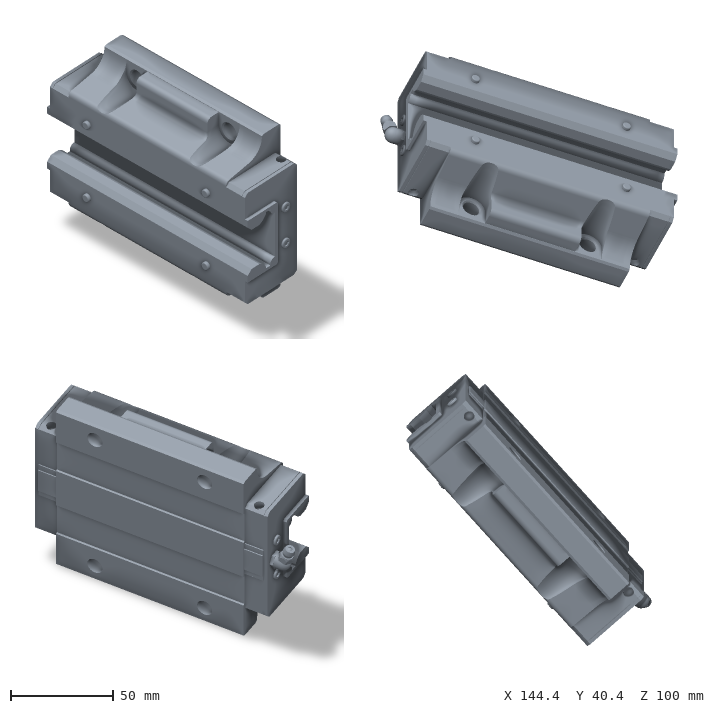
import cadquery as cq
import math


BLOCK_LENGTH = 105.8
FLANGE_WIDTH = 100.0
FLANGE_HALF = FLANGE_WIDTH / 2
BLOCK_DEPTH = 38.5
OVERALL_LENGTH = 144.4
SEAL_X = 67.5
CAP_X = 65.5

FLANGE_THICKNESS = 13.1
FLANGE_EDGE_DEPTH = 1.3
FLANGE_EDGE_HEIGHT = 0.7
SWEEP_START_HALF = 49.0
SWEEP_RADIUS = 11.3
SLOPE_ANGLE = 10.0
SIDE_CORNER_RADIUS = 2.9
RELIEF_DEPTH = 0.9
RELIEF_OUTER = 29.7
RELIEF_INNER = 11.1
RELIEF_SLOPE = 0.5

OPENING_FLOOR = 19.2
OPENING_FLOOR_HALF = 13.5
SLOT_DEEP_START = 22.4
SLOT_DEEP_END = 25.7
SLOT_DEEP_HALF = 17.2
TRACK_EDGE_HALF = 16.0
INNER_TRACK_CREST = (-21.5, 14.3)
OUTER_TRACK_CREST = (-27.5, 13.9)
LAND_START = 30.3
LAND_END = 35.8
LAND_HALF = 12.0
MOUTH_CHAMFER = 2.7

BOLT_SPACING_X = 62.0
BOLT_SPACING_Z = 82.0
BOLT_X = BOLT_SPACING_X / 2
BOLT_Z = BOLT_SPACING_Z / 2
BOLT_HOLE_DIAMETER = 8.5
BOLT_HOLE_CHAMFER = 0.7
SPOT_RADIUS = 7.1
RIB_DEPTH = 21.1
RIB_HALF = 49.1
RIB_RADIUS = 2.9
RIB_BASE_HALF = 28.9

CAP_BACK = 1.6
CAP_HALF = 34.1
CAP_BACK_CHAMFER_DEPTH = 2.2
CAP_BACK_CHAMFER_HEIGHT = 1.7
CAP_FRONT_CHAMFER = 2.0
CAP_JOINT_X = 63.4
CAP_JOINT_WIDTH = 0.5
CAP_JOINT_DEPTH = 0.5
PAD_HALVES = (9.8, 6.6)
PAD_BACKS = (1.0, 0.5)
PORT_X = 58.6
PORT_Y = -5.5
PORT_DIAMETER = 5.2
PORT_DEPTH = 4.3
SEAL_HALF = 18.9
SEAL_BACK = 16.9
SEAL_CHAMFER = 1.0

PIN_SPACING_X = 80.1
PIN_SPACING_Z = 44.5
PIN_X = PIN_SPACING_X / 2
PIN_Z = PIN_SPACING_Z / 2
PIN_DIAMETER = 4.3
PIN_HEIGHT = 1.9
PIN_RADIUS = 0.6
SCREW_Y = -10.0
SCREW_Z = 11.0
SCREW_DIAMETER = 5.6
SCREW_HEIGHT = 1.2
SCREW_RADIUS = 0.6
SOCKET_FLATS = 2.6
SOCKET_DEPTH = 0.7

NIPPLE_Y = -8.1
NIPPLE_TILT = 20.0
NUT_FLATS = 8.0
NUT_THICKNESS = 1.7
ELBOW_DIAMETER = 8.0
HEX_FLATS = 6.6
HEX_START = 2.9
HEX_BEVEL_START = 4.9
HEX_END = 6.8
NECK_END = 7.5
HEAD_START = 8.5
TIP_END = 11.3
HEX_TOP_DIAMETER = 6.2
NECK_DIAMETER = 5.2
HEAD_DIAMETER = 6.0
TIP_DIAMETER = 4.9
MOUTH_DIAMETER = 2.3
BALL_RISE = 0.5

SIDES = (-1, 1)


def extrude_along_x(sketch, x_start, x_end):
    """Extrude a closed YZ outline between two X positions."""
    return sketch.extrude(x_end - x_start).translate((x_start, 0, 0))


def centred_along_x(sketch, half_length):
    return extrude_along_x(sketch, -half_length, half_length)


def hexagon_diameter(flats):
    """Across-corners size of a hexagon from its width across flats."""
    return flats / math.cos(math.radians(30))


def make_rib(sweep_end):
    """Rib between the bolt holes, with a rounded crest and a rounded root."""
    slope = math.radians(SLOPE_ANGLE)
    mid_angle = (math.radians(90) - slope) / 2
    slope_z = sweep_end[1] - (RIB_DEPTH + sweep_end[0]) * math.tan(slope)
    root_run = RIB_RADIUS * math.tan(math.radians(45) - slope / 2)
    root_centre = (-RIB_DEPTH - RIB_RADIUS, slope_z + root_run)
    root_mid = (
        root_centre[0] + RIB_RADIUS * math.cos(mid_angle),
        root_centre[1] - RIB_RADIUS * math.sin(mid_angle),
    )
    root_end = (
        root_centre[0] + RIB_RADIUS * math.sin(slope),
        root_centre[1] - RIB_RADIUS * math.cos(slope),
    )
    crest_offset = RIB_RADIUS * (1 - math.sin(math.radians(45)))
    rib = (
        cq.Workplane("YZ")
        .moveTo(-FLANGE_THICKNESS, RIB_HALF)
        .lineTo(-RIB_DEPTH + RIB_RADIUS, RIB_HALF)
        .threePointArc(
            (-RIB_DEPTH + crest_offset, RIB_HALF - crest_offset),
            (-RIB_DEPTH, RIB_HALF - RIB_RADIUS),
        )
        .lineTo(-RIB_DEPTH, root_centre[1])
        .threePointArc(root_mid, root_end)
        .lineTo(root_end[0], RIB_BASE_HALF)
        .lineTo(-FLANGE_THICKNESS, RIB_BASE_HALF)
        .close()
    )
    return centred_along_x(rib, BOLT_X)


def make_block():
    """Steel block: flanges, concave sweeps, sloping sides and relieved back."""
    slope = math.radians(SLOPE_ANGLE)
    sweep_y = -FLANGE_THICKNESS - SWEEP_RADIUS
    sweep_z = SWEEP_START_HALF
    mid_angle = (math.radians(90) - slope) / 2
    sweep_mid = (
        sweep_y + SWEEP_RADIUS * math.cos(mid_angle),
        sweep_z - SWEEP_RADIUS * math.sin(mid_angle),
    )
    sweep_end = (
        sweep_y + SWEEP_RADIUS * math.sin(slope),
        sweep_z - SWEEP_RADIUS * math.cos(slope),
    )
    corner_z = sweep_end[1] - (BLOCK_DEPTH + sweep_end[0]) * math.tan(slope)
    half = (
        cq.Workplane("YZ")
        .moveTo(0, 0)
        .lineTo(0, RELIEF_INNER)
        .lineTo(-RELIEF_DEPTH, RELIEF_INNER + RELIEF_SLOPE)
        .lineTo(-RELIEF_DEPTH, RELIEF_OUTER - RELIEF_SLOPE)
        .lineTo(0, RELIEF_OUTER)
        .lineTo(0, FLANGE_HALF - FLANGE_EDGE_HEIGHT)
        .lineTo(-FLANGE_EDGE_DEPTH, FLANGE_HALF)
        .lineTo(-FLANGE_THICKNESS + FLANGE_EDGE_DEPTH, FLANGE_HALF)
        .lineTo(-FLANGE_THICKNESS, FLANGE_HALF - FLANGE_EDGE_HEIGHT)
        .lineTo(-FLANGE_THICKNESS, sweep_z)
        .threePointArc(sweep_mid, sweep_end)
        .lineTo(-BLOCK_DEPTH, corner_z)
        .lineTo(-BLOCK_DEPTH, 0)
        .close()
    )
    half = centred_along_x(half, BLOCK_LENGTH / 2)
    front_corner = cq.selectors.NearestToPointSelector((0, -BLOCK_DEPTH, corner_z))
    half = half.edges("|X").edges(front_corner).fillet(SIDE_CORNER_RADIUS)

    half = half.union(make_rib(sweep_end))
    return half.union(half.mirror("XY"))


def make_bolt_cutter():
    """Spot-face slot open toward the flange edge, with a chamfered through hole."""
    slot = (
        cq.Workplane("XZ", origin=(0, -FLANGE_THICKNESS, 0))
        .circle(SPOT_RADIUS)
        .extrude(BLOCK_DEPTH)
    )
    slot_width = 2 * SPOT_RADIUS
    open_side = cq.Workplane("XY").box(
        slot_width, BLOCK_DEPTH, slot_width, centered=(True, False, False)
    ).translate((0, -FLANGE_THICKNESS - BLOCK_DEPTH, 0))
    hole_radius = BOLT_HOLE_DIAMETER / 2
    hole = (
        cq.Workplane("XY")
        .moveTo(0, 0)
        .lineTo(hole_radius, 0)
        .lineTo(hole_radius, -FLANGE_THICKNESS + BOLT_HOLE_CHAMFER)
        .lineTo(hole_radius + BOLT_HOLE_CHAMFER, -FLANGE_THICKNESS)
        .lineTo(0, -FLANGE_THICKNESS)
        .close()
        .revolve(360, (0, 0, 0), (0, 1, 0))
    )
    return slot.union(open_side).union(hole).translate((0, 0, BOLT_Z))


def cap_outline(half):
    """End cap outline with bevelled corners, for a given half height along Z."""
    points = [
        (-CAP_BACK, half - CAP_BACK_CHAMFER_HEIGHT),
        (-CAP_BACK - CAP_BACK_CHAMFER_DEPTH, half),
        (-BLOCK_DEPTH + CAP_FRONT_CHAMFER, half),
        (-BLOCK_DEPTH, half - CAP_FRONT_CHAMFER),
    ]
    mirrored = [(y, -z) for y, z in reversed(points)]
    return cq.Workplane("YZ").polyline(points + mirrored).close()


def make_cap():
    """End cap and cover plate, parted by a joint groove across both flanks."""
    joint_end = CAP_JOINT_X + CAP_JOINT_WIDTH
    body = extrude_along_x(cap_outline(CAP_HALF), BLOCK_LENGTH / 2, CAP_JOINT_X)
    joint = extrude_along_x(cap_outline(CAP_HALF - CAP_JOINT_DEPTH), CAP_JOINT_X, joint_end)
    plate = extrude_along_x(cap_outline(CAP_HALF), joint_end, CAP_X)
    return body.union(joint).union(plate)


def make_screw():
    """Button screw head with a hexagon socket, standing on the YZ plane toward +X."""
    return (
        cq.Workplane("YZ")
        .circle(SCREW_DIAMETER / 2)
        .extrude(SCREW_HEIGHT)
        .faces(">X")
        .edges()
        .fillet(SCREW_RADIUS)
        .faces(">X")
        .workplane()
        .polygon(6, hexagon_diameter(SOCKET_FLATS))
        .cutBlind(-SOCKET_DEPTH)
    )


def make_end():
    """The +X end: cap, cover plate, back pad, lip seal, grease ports and screws."""
    start = BLOCK_LENGTH / 2
    end = make_cap()
    for half, back in zip(PAD_HALVES, PAD_BACKS):
        pad = cq.Workplane("XY").box(
            CAP_JOINT_X - start, BLOCK_DEPTH / 2 - back, 2 * half, centered=(False, False, True)
        )
        end = end.union(pad.translate((start, -BLOCK_DEPTH / 2, 0)))

    seal = cq.Workplane("XY").box(
        SEAL_X - start, BLOCK_DEPTH - SEAL_BACK, 2 * SEAL_HALF, centered=(False, False, True)
    ).edges("|X and >Y").chamfer(SEAL_CHAMFER)
    end = end.union(seal.translate((start, -BLOCK_DEPTH, 0)))

    for side in SIDES:
        port = cq.Workplane("XY").circle(PORT_DIAMETER / 2).extrude(2 * PORT_DEPTH)
        end = end.cut(port.translate((PORT_X, PORT_Y, side * CAP_HALF - PORT_DEPTH)))
        end = end.union(make_screw().translate((CAP_X, SCREW_Y, side * SCREW_Z)))
    return end


def make_rail_opening():
    """Void for the rail, with two convex ball tracks on each flank."""
    half = (
        cq.Workplane("YZ")
        .moveTo(-OPENING_FLOOR, 0)
        .lineTo(-OPENING_FLOOR, OPENING_FLOOR_HALF)
        .threePointArc(INNER_TRACK_CREST, (-SLOT_DEEP_START, TRACK_EDGE_HALF))
        .lineTo(-SLOT_DEEP_START, SLOT_DEEP_HALF)
        .lineTo(-SLOT_DEEP_END, SLOT_DEEP_HALF)
        .lineTo(-SLOT_DEEP_END, TRACK_EDGE_HALF)
        .threePointArc(OUTER_TRACK_CREST, (-LAND_START, LAND_HALF))
        .lineTo(-LAND_END, LAND_HALF)
        .lineTo(-BLOCK_DEPTH, LAND_HALF + MOUTH_CHAMFER)
        .lineTo(-BLOCK_DEPTH, 0)
        .close()
    )
    half = centred_along_x(half, OVERALL_LENGTH / 2)
    return half.union(half.mirror("XY"))


def make_pin():
    """Short round-edged pin standing on the XZ plane toward -Y."""
    return (
        cq.Workplane("XZ")
        .circle(PIN_DIAMETER / 2)
        .extrude(PIN_HEIGHT)
        .faces("<Y")
        .edges()
        .fillet(PIN_RADIUS)
    )


def make_carriage():
    carriage = make_block()
    bolt_cutter = make_bolt_cutter()
    bolt_cutters = bolt_cutter.union(bolt_cutter.mirror("XY"))
    for side in SIDES:
        carriage = carriage.cut(bolt_cutters.translate((side * BOLT_X, 0, 0)))
    end = make_end()
    carriage = carriage.union(end).union(end.mirror("YZ"))
    carriage = carriage.cut(make_rail_opening())
    for x_side in SIDES:
        for z_side in SIDES:
            pin = make_pin().translate((x_side * PIN_X, -BLOCK_DEPTH, z_side * PIN_Z))
            carriage = carriage.union(pin)
    return carriage


def make_nipple():
    """Angled grease nipple seated on the -X cover plate."""
    tilt = math.radians(NIPPLE_TILT)
    head_radius = HEAD_DIAMETER / 2
    taper = head_radius - TIP_DIAMETER / 2
    crown = TIP_END - HEAD_START
    bulge_radius = (taper ** 2 + crown ** 2) / (2 * taper)
    reach = (
        HEAD_START * math.sin(tilt)
        + (head_radius - bulge_radius) * math.cos(tilt)
        + bulge_radius
    )
    elbow_x = SEAL_X - OVERALL_LENGTH + reach

    nut = (
        cq.Workplane("YZ", origin=(-CAP_X, 0, 0))
        .polygon(6, hexagon_diameter(NUT_FLATS))
        .extrude(-NUT_THICKNESS)
    )
    elbow_radius = ELBOW_DIAMETER / 2
    elbow = (
        cq.Workplane("XY")
        .moveTo(-CAP_X, 0)
        .lineTo(-CAP_X, elbow_radius)
        .lineTo(elbow_x, elbow_radius)
        .radiusArc((elbow_x - elbow_radius, 0), -elbow_radius)
        .close()
        .revolve(360, (0, 0, 0), (1, 0, 0))
    )
    mouth_radius = MOUTH_DIAMETER / 2
    ball_radius = (mouth_radius ** 2 + BALL_RISE ** 2) / (2 * BALL_RISE)
    corner_radius = hexagon_diameter(HEX_FLATS) / 2
    hexagon = (
        cq.Workplane("XY", origin=(0, 0, HEX_START))
        .polygon(6, 2 * corner_radius)
        .extrude(HEX_END - HEX_START)
    )
    hexagon_bevel = (
        cq.Workplane("XZ")
        .moveTo(0, 0)
        .lineTo(corner_radius, 0)
        .lineTo(corner_radius, HEX_BEVEL_START)
        .lineTo(HEX_TOP_DIAMETER / 2, HEX_END)
        .lineTo(0, HEX_END)
        .close()
        .revolve(360, (0, 0, 0), (0, 1, 0))
    )
    hexagon = hexagon.intersect(hexagon_bevel)
    head = (
        cq.Workplane("XZ")
        .moveTo(0, 0)
        .lineTo(NECK_DIAMETER / 2, 0)
        .lineTo(NECK_DIAMETER / 2, NECK_END)
        .lineTo(head_radius, HEAD_START)
        .radiusArc((TIP_DIAMETER / 2, TIP_END), -bulge_radius)
        .lineTo(mouth_radius, TIP_END)
        .lineTo(mouth_radius, TIP_END - BALL_RISE)
        .radiusArc((0, TIP_END), -ball_radius)
        .close()
        .revolve(360, (0, 0, 0), (0, 1, 0))
    )
    spout = (
        head.union(hexagon)
        .rotate((0, 0, 0), (0, 1, 0), -NIPPLE_TILT)
        .translate((elbow_x, 0, 0))
    )
    return nut.union(elbow).union(spout).translate((0, NIPPLE_Y, 0))


carriage = make_carriage()
nipple = make_nipple()

result = cq.Compound.makeCompound([carriage.val(), nipple.val()])